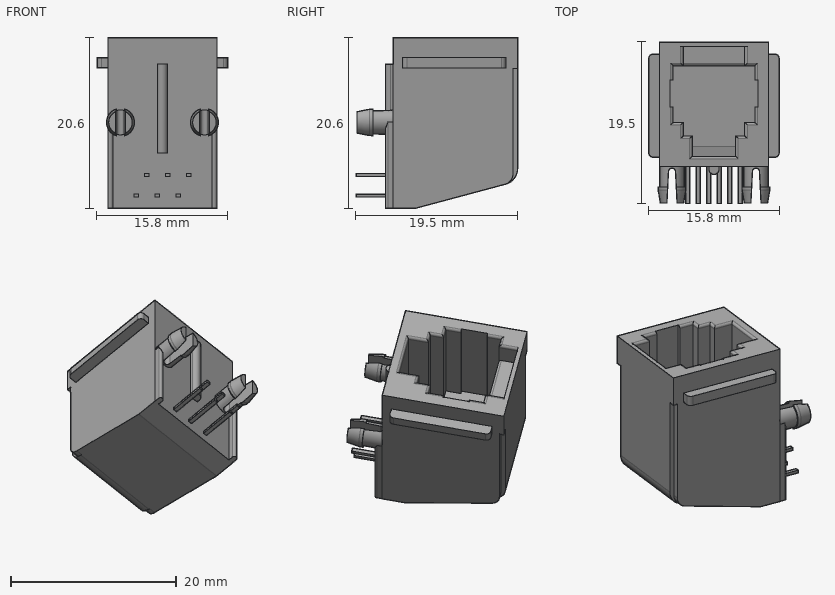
import cadquery as cq
import math


HEIGHT = 20.6
WIDTH = 13.18
DEPTH = 15.04
BOTTOM_FLAT = 2.76
BOTTOM_SLOPE = 15.0
HEEL_RADIUS = 2.0

REAR_STEP = 0.55
REAR_STEP_WIDTH = 0.82
REAR_STEP_TOP = 16.9
REAR_STEP_HEEL_RADIUS = 1.45

FLANGE_SPAN = 15.75
FLANGE_TOP = 18.2
FLANGE_THICKNESS = 1.24
FLANGE_FRONT = 1.13
FLANGE_LENGTH = 12.46
FLANGE_CORNER_RADIUS = 0.54

CAVITY_DEPTH = 12.35
LEAD_IN = 0.3
CAVITY_BACK = 12.17
WIDE_HALF = 4.92
MIDDLE_HALF = 3.7
NARROW_HALF = 2.62
WIDE_FRONT = 5.35
MIDDLE_FRONT = 3.7
NARROW_FRONT = 1.25
FLOOR_RAMP_LENGTH = 1.2
FLOOR_RAMP_DROP = 0.12

LATCH_BACK = 14.48
LATCH_DEPTH = 2.78

GROOVE_HALF = 5.3
GROOVE_FRONT = 7.2
GROOVE_BACK = 10.45

STANDOFF = 0.95
RIB_WIDTH = 1.2
RIB_BOTTOM = 6.67
RIB_TOP = 17.4
RAIL_WIDTH = 0.62
RAIL_INSET = 0.02
RAIL_TOP = 10.42

POST_X = 5.07
POST_Z = 10.36
POST_LENGTH = 4.39
POST_RADIUS = 1.5
COLLAR_RADIUS = 1.69
COLLAR_START = 2.43
COLLAR_END = 2.85
TIP_RADIUS = 1.42
SLOT_START = 0.19
SLOT_BASE_WIDTH = 0.82
SLOT_TIP_WIDTH = 1.2

PIN_WIDTH = 0.5
PIN_THICKNESS = 0.4
PIN_LENGTH = 4.47
PIN_SPACING = 2.53
PINS_PER_ROW = 3
UPPER_ROW_Z = 4.02
LOWER_ROW_Z = 1.52


def box(x_min, x_max, y_min, y_max, z_min, z_max):
    size = (x_max - x_min, y_max - y_min, z_max - z_min)
    return cq.Workplane("XY").box(*size, centered=False).translate((x_min, y_min, z_min))


def side_profile_prism(back, heel_radius, width):
    """Prism of the side outline, centred on X = 0, with a rounded lower rear heel."""
    slope = math.radians(BOTTOM_SLOPE)
    half_turn = (math.pi / 2 - slope) / 2
    corner_z = (back - BOTTOM_FLAT) * math.tan(slope)
    tangent = heel_radius * math.tan(half_turn)
    heel_low = (back - tangent * math.cos(slope), corner_z - tangent * math.sin(slope))
    heel_high = (back, corner_z + tangent)
    heel_middle = (
        back - heel_radius + heel_radius * math.cos(half_turn),
        heel_high[1] - heel_radius * math.sin(half_turn),
    )
    return (
        cq.Workplane("YZ")
        .moveTo(0, 0)
        .lineTo(BOTTOM_FLAT, 0)
        .lineTo(*heel_low)
        .threePointArc(heel_middle, heel_high)
        .lineTo(back, HEIGHT)
        .lineTo(0, HEIGHT)
        .close()
        .extrude(width / 2, both=True)
    )


def make_housing():
    core = side_profile_prism(DEPTH, HEEL_RADIUS, WIDTH - 2 * REAR_STEP_WIDTH)
    full_width = side_profile_prism(DEPTH - REAR_STEP, REAR_STEP_HEEL_RADIUS, WIDTH)
    upper_band = box(-WIDTH / 2, WIDTH / 2, 0, DEPTH, REAR_STEP_TOP, HEIGHT)
    return core.union(full_width).union(upper_band)


def make_flanges():
    return (
        box(
            -FLANGE_SPAN / 2, FLANGE_SPAN / 2,
            FLANGE_FRONT, FLANGE_FRONT + FLANGE_LENGTH,
            FLANGE_TOP - FLANGE_THICKNESS, FLANGE_TOP,
        )
        .edges("|Z")
        .fillet(FLANGE_CORNER_RADIUS)
    )


def cut_cavity(body):
    floor = HEIGHT - CAVITY_DEPTH
    ledge = HEIGHT - LATCH_DEPTH
    right_half = [
        (NARROW_HALF, NARROW_FRONT),
        (NARROW_HALF, MIDDLE_FRONT),
        (MIDDLE_HALF, MIDDLE_FRONT),
        (MIDDLE_HALF, WIDE_FRONT),
        (WIDE_HALF, WIDE_FRONT),
        (WIDE_HALF, CAVITY_BACK),
    ]
    left_half = [(-x, y) for x, y in reversed(right_half)]
    opening = (
        cq.Workplane("XY")
        .workplane(offset=floor)
        .polyline(right_half + left_half)
        .close()
        .extrude(CAVITY_DEPTH)
    )
    ramp = (
        cq.Workplane("YZ")
        .moveTo(NARROW_FRONT, floor)
        .lineTo(NARROW_FRONT + FLOOR_RAMP_LENGTH, floor)
        .lineTo(NARROW_FRONT, floor - FLOOR_RAMP_DROP)
        .close()
        .extrude(NARROW_HALF, both=True)
    )
    latch = box(-MIDDLE_HALF, MIDDLE_HALF, WIDE_FRONT, LATCH_BACK, ledge, HEIGHT)
    body = body.cut(opening.union(ramp)).cut(latch)

    margin = 0.02
    mouth = cq.selectors.BoxSelector(
        (-WIDE_HALF - margin, NARROW_FRONT - margin, HEIGHT - margin),
        (WIDE_HALF + margin, LATCH_BACK - margin, HEIGHT + margin),
    )
    ledge_edge = cq.selectors.BoxSelector(
        (-margin, CAVITY_BACK - margin, ledge - margin),
        (margin, CAVITY_BACK + margin, ledge + margin),
    )
    body = body.edges(mouth).fillet(LEAD_IN)
    body = body.edges(ledge_edge).fillet(LEAD_IN)
    return body.cut(box(-GROOVE_HALF, GROOVE_HALF, GROOVE_FRONT, GROOVE_BACK, floor, HEIGHT))


def make_standoff(x, width, z_min, z_max):
    """Upright bar on the front face with a full-round outer edge."""
    radius = width / 2
    straight = STANDOFF - radius
    return (
        cq.Workplane("XY")
        .workplane(offset=z_min)
        .moveTo(x - radius, 0)
        .lineTo(x - radius, -straight)
        .threePointArc((x, -STANDOFF), (x + radius, -straight))
        .lineTo(x + radius, 0)
        .close()
        .extrude(z_max - z_min)
    )


def make_post(x):
    post = (
        cq.Workplane("XY")
        .moveTo(0, 0)
        .lineTo(POST_RADIUS, 0)
        .lineTo(POST_RADIUS, -COLLAR_START)
        .lineTo(COLLAR_RADIUS, -COLLAR_START)
        .lineTo(COLLAR_RADIUS, -COLLAR_END)
        .lineTo(TIP_RADIUS, -POST_LENGTH)
        .lineTo(0, -POST_LENGTH)
        .close()
        .revolve(360, (0, 0, 0), (0, 1, 0))
    )
    base_half = SLOT_BASE_WIDTH / 2
    tip_half = SLOT_TIP_WIDTH / 2
    slot_shoulder = SLOT_START + base_half
    slot = (
        cq.Workplane("XY")
        .moveTo(-base_half, -slot_shoulder)
        .threePointArc((0, -SLOT_START), (base_half, -slot_shoulder))
        .lineTo(tip_half, -POST_LENGTH)
        .lineTo(-tip_half, -POST_LENGTH)
        .close()
        .extrude(COLLAR_RADIUS, both=True)
    )
    return post.cut(slot).translate((x, 0, POST_Z))


def make_pin(x, z):
    half_width = PIN_WIDTH / 2
    half_thickness = PIN_THICKNESS / 2
    return box(
        x - half_width, x + half_width, -PIN_LENGTH, 0, z - half_thickness, z + half_thickness
    )


body = cut_cavity(make_housing())

housing_slab = box(-WIDTH / 2, WIDTH / 2, 0, DEPTH, 0, HEIGHT)
body = body.union(make_flanges().cut(housing_slab))

body = body.union(make_standoff(0, RIB_WIDTH, RIB_BOTTOM, RIB_TOP))
for side in (-1, 1):
    rail_x = side * ((WIDTH - RAIL_WIDTH) / 2 - RAIL_INSET)
    rail = make_standoff(rail_x, RAIL_WIDTH, 0, RAIL_TOP)
    body = body.union(rail).union(make_post(side * POST_X))

for row_z, row_shift in ((UPPER_ROW_Z, PIN_SPACING / 4), (LOWER_ROW_Z, -PIN_SPACING / 4)):
    for index in range(PINS_PER_ROW):
        pin_x = row_shift + (index - (PINS_PER_ROW - 1) / 2) * PIN_SPACING
        body = body.union(make_pin(pin_x, row_z))

result = body